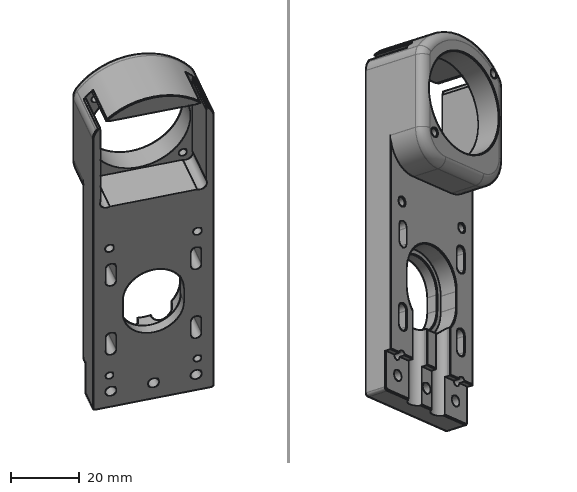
import cadquery as cq
import math

WIDTH = 37.0
HALF_WIDTH = WIDTH / 2
SIDES = (-1, 1)
DEPTH = 22.2
PLATE_FRONT_X = 12.4
EDGE_BREAK = 0.25
BREAK_ANGLE = 45.0

HEAD_CENTRE_Z = 92.0
CROWN_RADIUS = 22.0
SHOULDER_RADIUS = 5.0
HEAD_BOTTOM_Z = 69.5
HEAD_CORNER_RADIUS = 10.0
HEAD_EDGE_RADIUS = 3.0

BORE_RADIUS = 15.6
POCKET_FRONT_X = 8.0
POCKET_HALF_WIDTH = 16.1
POCKET_CORNER_RADIUS = 2.0
RELIEF_RADIUS = 2.1
RELIEF_OFFSET = 14.2
MOUTH_WIDTH = 4.1
MOUTH_THROAT_WIDTH = 2.7
MOUTH_ANGLE = 45.0
HEAD_SCREW_OFFSET = 13.3
HEAD_SCREW_DIAMETER = 2.5

STEP_FRONT_X = 14.4
STEP_HEIGHT = 12.2
FOOT_CHAMFER = 0.35
FOOT_CORNER_RADIUS = 1.0

UPRIGHT = 90.0
UPPER_HOLE_Z = 60.1
LOWER_HOLE_Z = 12.1
PLATE_HOLE_Y = 13.4
UPPER_HOLE_DIAMETER = 2.7
LOWER_HOLE_DIAMETER = 2.4
SCREW_Y = 13.0
LOWER_SLOT_Z = 24.0
UPPER_SLOT_Z = 50.0
SLOT_LENGTH = 8.3
SLOT_WIDTH = 3.2
FOOT_HOLE_DIAMETER = 3.4
FOOT_HOLE_Z = 6.1

WINDOW_Z = 37.0
WINDOW_STRAIGHT = 5.0
RECESS_WIDTH = 22.0
RECESS_DEPTH = 6.0
OPENING_WIDTH = 18.6

GROOVE_Y = 5.2
GROOVE_RADIUS = 3.1
GROOVE_AXIS_X = 13.4


def profile(x):
    """Sketch plane across the part at the given X; local x is Y, local y is Z."""
    return cq.Workplane("YZ", origin=(x, 0, 0))


def crowned_block(x_front, z_bottom):
    """Block from x_front to the back, its top edge formed by the crown arc and two shoulders."""
    shoulder_y = HALF_WIDTH - SHOULDER_RADIUS
    shoulder_rise = math.sqrt((CROWN_RADIUS - SHOULDER_RADIUS) ** 2 - shoulder_y**2)
    shoulder_z = HEAD_CENTRE_Z + shoulder_rise
    crown_angle = math.atan2(shoulder_rise, shoulder_y)
    crown_end_y = CROWN_RADIUS * math.cos(crown_angle)
    crown_end_z = HEAD_CENTRE_Z + CROWN_RADIUS * math.sin(crown_angle)
    mid_y = shoulder_y + SHOULDER_RADIUS * math.cos(crown_angle / 2)
    mid_z = shoulder_z + SHOULDER_RADIUS * math.sin(crown_angle / 2)
    return (
        profile(x_front)
        .moveTo(-HALF_WIDTH, z_bottom)
        .lineTo(HALF_WIDTH, z_bottom)
        .lineTo(HALF_WIDTH, shoulder_z)
        .threePointArc((mid_y, mid_z), (crown_end_y, crown_end_z))
        .threePointArc((0, HEAD_CENTRE_Z + CROWN_RADIUS), (-crown_end_y, crown_end_z))
        .threePointArc((-mid_y, mid_z), (-HALF_WIDTH, shoulder_z))
        .close()
        .extrude(DEPTH - x_front)
    )


def make_head():
    head = crowned_block(0, HEAD_BOTTOM_Z)
    head = head.edges("|X and <Z").fillet(HEAD_CORNER_RADIUS)
    return head.faces("<X").edges().fillet(HEAD_EDGE_RADIUS)


def make_plate():
    """Stepped plate with its holes, slots, window and grooves, most front edges broken."""
    plate = crowned_block(PLATE_FRONT_X, 0)
    plate = plate.edges("|X and <Z").fillet(FOOT_CORNER_RADIUS)
    step_cut = cq.Workplane("XY").box(
        STEP_FRONT_X - PLATE_FRONT_X, WIDTH, STEP_HEIGHT, centered=(False, True, False)
    )
    plate = plate.cut(step_cut.translate((PLATE_FRONT_X, 0, 0)))
    step_centre = (STEP_FRONT_X, 0, STEP_HEIGHT / 2)
    step_face = plate.faces(cq.selectors.NearestToPointSelector(step_centre))
    plate = step_face.edges("not >Z").chamfer(FOOT_CHAMFER)

    upper_holes = [(side * PLATE_HOLE_Y, UPPER_HOLE_Z) for side in SIDES]
    plate = plate.cut(through_holes(upper_holes, UPPER_HOLE_DIAMETER))
    plate = plate.cut(recess())

    for side in SIDES:
        plate = plate.cut(groove(side * GROOVE_Y))
        plate = plate.cut(upright_slot(side * SCREW_Y, LOWER_SLOT_Z, SLOT_WIDTH, SLOT_LENGTH))
    plate = plate.cut(upright_slot(-SCREW_Y, UPPER_SLOT_Z, SLOT_WIDTH, SLOT_LENGTH))
    plate = plate.faces("<X").edges().chamfer(EDGE_BREAK)

    plate = plate.cut(upright_slot(SCREW_Y, UPPER_SLOT_Z, SLOT_WIDTH, SLOT_LENGTH))
    lower_holes = [(side * PLATE_HOLE_Y, LOWER_HOLE_Z) for side in SIDES]
    plate = plate.cut(through_holes(lower_holes, LOWER_HOLE_DIAMETER))
    foot_holes = [(y, FOOT_HOLE_Z) for y in (-SCREW_Y, 0, SCREW_Y)]
    plate = plate.cut(through_holes(foot_holes, FOOT_HOLE_DIAMETER))
    return plate.cut(window_opening())


def slot_mouth(angle):
    """Flared mouth where a corner relief breaks through the crown."""
    relief_centre = math.hypot(RELIEF_OFFSET, RELIEF_OFFSET)
    throat_half_width = MOUTH_THROAT_WIDTH / 2
    mouth_half_width = MOUTH_WIDTH / 2
    throat_height = relief_centre + math.sqrt(RELIEF_RADIUS**2 - throat_half_width**2)
    mouth_height = math.sqrt(CROWN_RADIUS**2 - mouth_half_width**2)
    return (
        profile(POCKET_FRONT_X)
        .moveTo(0, relief_centre)
        .lineTo(throat_half_width, throat_height)
        .lineTo(mouth_half_width, mouth_height)
        .lineTo(mouth_half_width, CROWN_RADIUS)
        .lineTo(-mouth_half_width, CROWN_RADIUS)
        .lineTo(-mouth_half_width, mouth_height)
        .lineTo(-throat_half_width, throat_height)
        .close()
        .extrude(DEPTH - POCKET_FRONT_X)
        .rotate((0, 0, 0), (1, 0, 0), angle)
        .translate((0, 0, HEAD_CENTRE_Z))
    )


def head_interior():
    """Front bore, square pocket open at the back, corner reliefs and the two slot mouths in the crown."""
    bore = round_hole(0, HEAD_CENTRE_Z, BORE_RADIUS)
    pocket_depth = DEPTH - POCKET_FRONT_X
    pocket_plane = profile(POCKET_FRONT_X).center(0, HEAD_CENTRE_Z)
    pocket = pocket_plane.rect(2 * POCKET_HALF_WIDTH, 2 * POCKET_HALF_WIDTH).extrude(pocket_depth)
    pocket = pocket.edges("|X").fillet(POCKET_CORNER_RADIUS)
    reliefs = (
        pocket_plane.rect(2 * RELIEF_OFFSET, 2 * RELIEF_OFFSET, forConstruction=True)
        .vertices()
        .circle(RELIEF_RADIUS)
        .extrude(pocket_depth)
    )
    interior = bore.union(pocket).union(reliefs)
    for side in SIDES:
        interior = interior.union(slot_mouth(side * MOUTH_ANGLE))
        screw_y = side * HEAD_SCREW_OFFSET
        screw = round_hole(screw_y, HEAD_CENTRE_Z - screw_y, HEAD_SCREW_DIAMETER / 2)
        interior = interior.union(screw)
    return interior


def round_hole(y, z, radius):
    """Hole from the head face into the pocket, with a broken front edge."""
    mouth = profile(0).center(y, z)
    rim = mouth.circle(radius + EDGE_BREAK).extrude(EDGE_BREAK, taper=BREAK_ANGLE)
    return mouth.circle(radius).extrude(POCKET_FRONT_X).union(rim)


def through_holes(points, diameter):
    return profile(0).pushPoints(points).circle(diameter / 2).extrude(DEPTH)


def upright_slot(y, z, width, length):
    return profile(PLATE_FRONT_X).center(y, z).slot2D(length, width, UPRIGHT).extrude(DEPTH)


def recess():
    """Wide oval pocket that leaves a ledge around the window opening."""
    length = RECESS_WIDTH + WINDOW_STRAIGHT
    front = profile(PLATE_FRONT_X).center(0, WINDOW_Z)
    return front.slot2D(length, RECESS_WIDTH, UPRIGHT).extrude(RECESS_DEPTH)


def window_opening():
    """Oval opening through the ledge, with a broken front edge."""
    opening = upright_slot(0, WINDOW_Z, OPENING_WIDTH, OPENING_WIDTH + WINDOW_STRAIGHT)
    rim_width = OPENING_WIDTH + 2 * EDGE_BREAK
    ledge = profile(PLATE_FRONT_X + RECESS_DEPTH).center(0, WINDOW_Z)
    rim = ledge.slot2D(rim_width + WINDOW_STRAIGHT, rim_width, UPRIGHT).extrude(EDGE_BREAK, taper=BREAK_ANGLE)
    return opening.union(rim)


def groove(y):
    """Round-bottomed channel with straight sides up to the plate front."""
    channel = cq.Workplane("XY").center(GROOVE_AXIS_X, y).circle(GROOVE_RADIUS).extrude(WINDOW_Z)
    sides = cq.Workplane("XY").box(
        GROOVE_RADIUS, 2 * GROOVE_RADIUS, WINDOW_Z, centered=(False, True, False)
    )
    return channel.union(sides.translate((GROOVE_AXIS_X - GROOVE_RADIUS, y, 0)))


def break_back_edges(body):
    """Chamfer the outline of the back face; hole and window rims stay sharp there."""
    outline = body.faces(">X").val().outerWire()
    return body.newObject(outline.Edges()).chamfer(EDGE_BREAK)


result = make_head().union(make_plate())
result = break_back_edges(result).cut(head_interior())